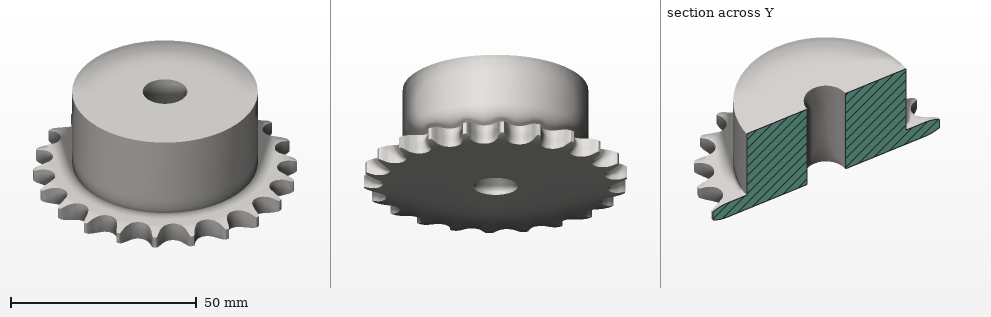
import cadquery as cq
import math

tooth_count = 22
outer_radius = 35.5
plate_thickness = 5.3
total_height = 28.0
hub_diameter = 50.0
bore_diameter = 12.0

root_radius = 30.25
roller_seat_radius = 3.2
roller_seat_half_angle = 51.0
flank_bend_radius = 33.4
flank_bend_half_width = 1.15
shoulder_radius = 34.5
shoulder_half_width = 0.85
tip_half_width = 0.46
gap_overshoot = 1.4

side_start_radius = 31.1
side_drop = 1.1

tooth_pitch_angle = 360.0 / tooth_count


def make_blank():
    """Disc whose rim narrows towards the tips along arcs tangent to both faces."""
    side_width = outer_radius - side_start_radius
    rim_bottom = side_drop
    rim_top = plate_thickness - side_drop
    side_radius = (side_width**2 + side_drop**2) / (2 * side_drop)
    half_sweep = math.asin(side_width / side_radius) / 2
    middle_radius = side_start_radius + side_radius * math.sin(half_sweep)
    middle_drop = side_radius * (1 - math.cos(half_sweep))
    profile = (
        cq.Workplane("XZ")
        .lineTo(side_start_radius, 0)
        .threePointArc((middle_radius, middle_drop), (outer_radius, rim_bottom))
        .lineTo(outer_radius, rim_top)
        .threePointArc(
            (middle_radius, plate_thickness - middle_drop),
            (side_start_radius, plate_thickness),
        )
        .lineTo(0, plate_thickness)
        .close()
    )
    return profile.revolve(360, (0, 0, 0), (0, 1, 0))


def seat_point(angle_degrees):
    """Point on the roller seat of the +Y gap, at an angle from the bottom of the gap."""
    angle = math.radians(angle_degrees)
    seat_centre = root_radius + roller_seat_radius
    return (
        roller_seat_radius * math.sin(angle),
        seat_centre - roller_seat_radius * math.cos(angle),
    )


def flank_point(radius, half_width):
    """Point on the right side of the +Y gap, where the adjoining tooth has this half width."""
    angle = math.radians(tooth_pitch_angle / 2) - math.asin(half_width / radius)
    return (radius * math.sin(angle), radius * math.cos(angle))


def make_gap_cutter():
    """Gap between two teeth, centred on +Y, reaching from one tooth tip to the next."""
    tip_corner = flank_point(outer_radius, tip_half_width)
    cutter_top = outer_radius + gap_overshoot
    return (
        cq.Workplane("XY")
        .moveTo(0, root_radius)
        .threePointArc(seat_point(roller_seat_half_angle / 2), seat_point(roller_seat_half_angle))
        .tangentArcPoint(flank_point(flank_bend_radius, flank_bend_half_width), relative=False)
        .lineTo(*flank_point(shoulder_radius, shoulder_half_width))
        .tangentArcPoint(tip_corner, relative=False)
        .lineTo(tip_corner[0], cutter_top)
        .lineTo(0, cutter_top)
        .mirrorY()
        .extrude(plate_thickness)
    )


def make_toothed_plate():
    """Rounded-side blank with the gaps cut around its rim."""
    plate = make_blank()
    gap_cutter = make_gap_cutter()
    first_gap_angle = tooth_pitch_angle / 2 - 90
    for index in range(tooth_count):
        angle = first_gap_angle + index * tooth_pitch_angle
        plate = plate.cut(gap_cutter.rotate((0, 0, 0), (0, 0, 1), angle))
    return plate


hub = cq.Workplane("XY").circle(hub_diameter / 2).extrude(total_height)
bore = cq.Workplane("XY").circle(bore_diameter / 2).extrude(total_height)

result = make_toothed_plate().union(hub).cut(bore)